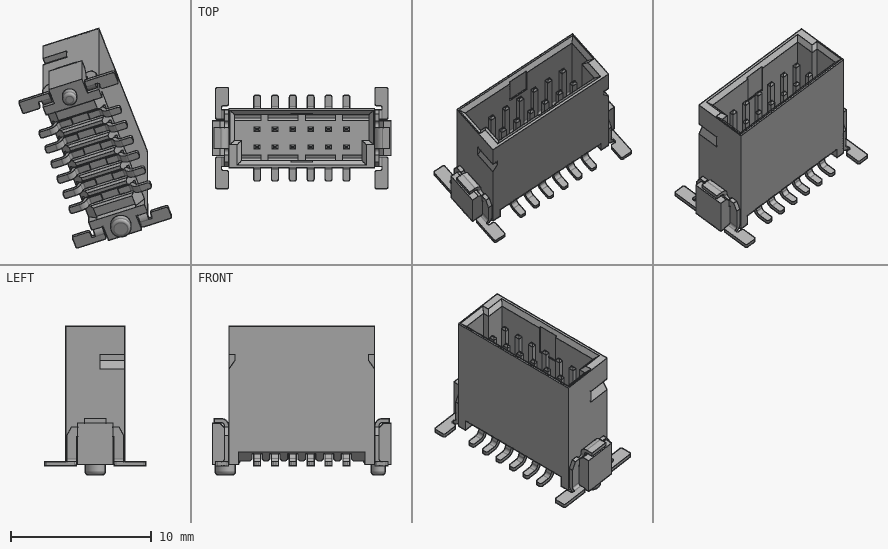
import cadquery as cq
import math


body_length = 10.33
body_depth = 4.21
body_top = 9.91
foot_bottom = 0.09
underside = 0.34
front_cut_top = 0.99
front_cut_half_length = 4.5
underside_chamfer = 0.14

cavity_half_length = 4.76
cavity_back = 1.66
cavity_front = -1.6
key_half_length = 4.27
key_back = -0.15
cavity_floor = 3.17
lead_in = 0.32

relief_length = 1.5
relief_depth = 0.09
relief_bottom = 7.29

groove_radius = 0.22
groove_slope_width = 0.19
outer_groove_start = 2.9
inner_groove_half_length = 2.38
groove_rib = 0.52

notch_depth = 0.43
notch_back = -0.33
notch_top = 7.9
notch_straight = 0.42
notch_height = 1.03

pitch = 1.27
contacts_per_row = 6
pin_width = 0.4
pin_thickness = 0.3
pin_top = 8.91
pin_tip_inset = 0.11
pin_tip_height = 0.19
tail_width = 0.51
tail_thickness = 0.3
tail_end = 3.05
tail_bend_start = 2.24
tail_angle = 75
tail_inner_radius = 0.28
tail_run_top = 0.89
tail_corner_radius = 0.16
tail_slot_width = 0.71
tail_slot_top = 0.86
tooth_chamfer = 0.15

block_outer = 6.34
block_depth = 2.5
block_top = 3.04
block_chamfer = 0.32

clip_thickness = 0.3
clip_outer = 5.49
clip_depth = 4.03
clip_top = 2.75
clip_corner_width = 0.32
clip_corner_height = 0.6
leg_inner = 1.33
leg_split_top = 2.08
leg_bend_radius = 0.19
solder_foot_outer = 6.12
solder_foot_end = 3.6
solder_foot_notch = 0.27
solder_foot_radius = 0.13
solder_foot_heel_radius = 0.18
solder_foot_notch_radius = 0.09
hook_end = 6.22
hook_width = 1.5
hook_relief_width = 0.45
hook_top = 3.36
hook_inner_radius = 0.23

peg_x = 5.42
left_peg_diameter = 1.45
right_peg_diameter = 1.01
peg_bottom = -0.65
peg_edge_radius = 0.23


def box(x0, x1, y0, y1, z0, z1):
    """Axis-aligned box between two opposite corners."""
    return cq.Workplane("XY").box(x1 - x0, y1 - y0, z1 - z0, centered=False).translate((x0, y0, z0))


def extrude_along_x(outline, x0, x1):
    """Extrude a closed YZ outline from x0 to x1."""
    return outline.extrude(x1 - x0).translate((x0, 0, 0))


def extrude_along_y(outline, half_width):
    """Extrude a closed XZ outline symmetrically about Y = 0."""
    return outline.extrude(half_width, both=True)


def both_ends(left_part):
    """Add the mirror image of a left-end part at the right end."""
    return left_part.union(left_part.mirror("YZ"))


def both_rows(back_part):
    """Add the mirror image of a back-row part in the front row."""
    return back_part.union(back_part.mirror("XZ"))


def cavity_outline(offset, z):
    """T-shaped cavity outline with all its walls moved outward by offset."""
    wide = cavity_half_length + offset
    narrow = key_half_length + offset
    back = cavity_back + offset
    front = cavity_front - offset
    step = key_back - offset
    points = [
        (-wide, back), (wide, back), (wide, step), (narrow, step),
        (narrow, front), (-narrow, front), (-narrow, step), (-wide, step),
    ]
    return cq.Workplane("XY").workplane(offset=z).polyline(points).close()


def make_cavity():
    straight = cavity_outline(0, cavity_floor).extrude(body_top - cavity_floor)
    bevel_bottom = body_top - lead_in
    lower = cavity_outline(0, bevel_bottom).wire().val()
    upper = cavity_outline(lead_in, body_top).wire().val()
    bevel = cq.Workplane(obj=cq.Solid.makeLoft([lower, upper], True))
    relief = box(
        -relief_length / 2, relief_length / 2,
        cavity_front - relief_depth, cavity_back + relief_depth, relief_bottom, body_top,
    )
    return straight.union(bevel).union(relief)


def make_floor_groove(y_start, x0, x1):
    """Groove with a rounded back wall that starts at y_start and a sloped front wall."""
    bottom_y = y_start - groove_radius
    bottom_z = cavity_floor - groove_radius
    arc_offset = groove_radius * math.sqrt(0.5)
    outline = (
        cq.Workplane("YZ").moveTo(y_start, cavity_floor)
        .threePointArc((bottom_y + arc_offset, cavity_floor - arc_offset), (bottom_y, bottom_z))
        .lineTo(bottom_y - groove_slope_width, cavity_floor).close()
    )
    return extrude_along_x(outline, x0, x1)


def make_floor_grooves():
    groove_width = groove_radius + groove_slope_width
    rows = ((cavity_back, cavity_half_length), (cavity_front + groove_width, key_half_length))
    grooves = cq.Workplane("XY")
    for y_start, outer_end in rows:
        outer = make_floor_groove(y_start, -outer_end, -outer_groove_start)
        inner = make_floor_groove(y_start, -inner_groove_half_length, -groove_rib / 2)
        grooves = grooves.union(both_ends(outer.union(inner)))
    return grooves


def make_side_notch():
    """Left notch with a square upper part and a sloped lower part, open at the front."""
    side = -body_length / 2
    outline = cq.Workplane("XZ").polyline([
        (side, notch_top), (side + notch_depth, notch_top),
        (side + notch_depth, notch_top - notch_straight), (side, notch_top - notch_height),
    ]).close()
    front = body_depth / 2
    return outline.extrude(front + notch_back).translate((0, notch_back, 0))


def make_underside_cut():
    """Space under the housing between its feet, with bevelled long edges."""
    half = front_cut_half_length
    floor_gap = cq.Workplane("XZ").polyline([
        (-half, foot_bottom), (half, foot_bottom), (half - underside_chamfer, underside),
        (-half + underside_chamfer, underside),
    ]).close()
    edge = body_depth / 2
    bevel_size = front_cut_top - underside
    bevel = cq.Workplane("YZ").polyline([
        (edge, foot_bottom), (edge, front_cut_top), (edge - bevel_size, underside),
        (edge - bevel_size, foot_bottom),
    ]).close()
    return extrude_along_y(floor_gap, edge).union(both_rows(extrude_along_x(bevel, -half, half)))


def contact_positions():
    first = -pitch * (contacts_per_row - 1) / 2
    return [first + pitch * i for i in range(contacts_per_row)]


def make_tail_slot():
    """Slot between two teeth of the underside, widened by chamfers at its mouth."""
    half = tail_slot_width / 2
    chamfer_top = underside + tooth_chamfer
    outline = cq.Workplane("XZ").polyline([
        (-half - tooth_chamfer, underside), (half + tooth_chamfer, underside), (half, chamfer_top),
        (half, tail_slot_top), (-half, tail_slot_top), (-half, chamfer_top),
    ]).close()
    return extrude_along_y(outline, body_depth / 2)


def make_housing():
    housing = box(
        -body_length / 2, body_length / 2, -body_depth / 2, body_depth / 2, foot_bottom, body_top,
    )
    housing = housing.cut(make_cavity()).cut(make_floor_grooves())
    housing = housing.cut(both_ends(make_side_notch())).cut(make_underside_cut())
    for x in contact_positions():
        housing = housing.cut(make_tail_slot().translate((x, 0, 0)))
    return housing


def make_contact():
    """One back-row contact at X = 0: a straight pin and an S-bent solder tail."""
    pin = box(
        -pin_width / 2, pin_width / 2, (pitch - pin_thickness) / 2, (pitch + pin_thickness) / 2,
        cavity_floor - groove_radius, pin_top - pin_tip_height,
    )
    tip = (
        cq.Workplane("XY").workplane(offset=pin_top - pin_tip_height).center(0, pitch / 2)
        .rect(pin_width, pin_thickness).workplane(offset=pin_tip_height)
        .rect(pin_width - 2 * pin_tip_inset, pin_thickness - 2 * pin_tip_inset).loft(ruled=True)
    )
    pin = pin.union(tip)

    angle = math.radians(tail_angle)
    arc_height = 1 - math.cos(angle)
    lower_centre = (tail_bend_start, tail_thickness + tail_inner_radius)
    join_height = tail_thickness + tail_inner_radius * arc_height
    upper_radius = (tail_run_top - join_height) / arc_height
    centre_distance = tail_inner_radius + upper_radius
    upper_centre = (tail_bend_start - centre_distance * math.sin(angle), tail_run_top - upper_radius)

    def on_lower(radius, turn):
        """Point on the lower bend after the given turn from its flat end."""
        return lower_centre[0] - radius * math.sin(turn), lower_centre[1] - radius * math.cos(turn)

    def on_upper(radius, turn):
        """Point on the upper bend after the given turn from its horizontal run."""
        return upper_centre[0] + radius * math.sin(turn), upper_centre[1] + radius * math.cos(turn)

    lower_outer = tail_inner_radius + tail_thickness
    upper_inner = upper_radius - tail_thickness
    outline = (
        cq.Workplane("YZ").moveTo(tail_end, 0).lineTo(tail_end, tail_thickness)
        .lineTo(tail_bend_start, tail_thickness)
        .threePointArc(on_lower(tail_inner_radius, angle / 2), on_lower(tail_inner_radius, angle))
        .threePointArc(on_upper(upper_radius, angle / 2), on_upper(upper_radius, 0))
        .lineTo(pitch / 2, tail_run_top).lineTo(pitch / 2, tail_run_top - tail_thickness)
        .lineTo(*on_upper(upper_inner, 0))
        .threePointArc(on_upper(upper_inner, angle / 2), on_upper(upper_inner, angle))
        .threePointArc(on_lower(lower_outer, angle / 2), on_lower(lower_outer, 0))
        .close()
    )
    tail = extrude_along_x(outline, -tail_width / 2, tail_width / 2)
    tail = tail.faces(">Y").edges("|Z").fillet(tail_corner_radius)
    return pin.union(tail)


def make_block():
    """Left clip block with a bevelled inner top edge, joined to the housing by a web."""
    block = box(
        -block_outer, -clip_outer, -block_depth / 2, block_depth / 2, foot_bottom, block_top,
    ).edges(">X and >Z").chamfer(block_chamfer)
    web = box(
        -clip_outer, -body_length / 2, -block_depth / 2, block_depth / 2, foot_bottom, leg_split_top,
    )
    return block.union(web)


def make_clip_plate():
    """Upright plate of the left clip, split into two legs below and relieved beside the hook."""
    half = clip_depth / 2
    bend_top = clip_thickness + leg_bend_radius
    outline = cq.Workplane("YZ").polyline([
        (-half, bend_top), (-half, clip_top - clip_corner_height),
        (-half + clip_corner_width, clip_top), (half - clip_corner_width, clip_top),
        (half, clip_top - clip_corner_height), (half, bend_top), (leg_inner, bend_top),
        (leg_inner, leg_split_top), (-leg_inner, leg_split_top), (-leg_inner, bend_top),
    ]).close()
    plate = extrude_along_x(outline, -clip_outer, -clip_outer + clip_thickness)
    relief = (
        cq.Workplane("YZ").center((hook_width + hook_relief_width) / 2, clip_top)
        .circle(hook_relief_width / 2)
    )
    relief = extrude_along_x(relief, -clip_outer, -clip_outer + clip_thickness)
    return plate.cut(both_rows(relief))


def make_clip_hook():
    """Tongue on top of the left clip, bent outward over the block."""
    centre_x = -clip_outer - hook_inner_radius
    outer_radius = hook_inner_radius + clip_thickness
    centre_z = hook_top - outer_radius
    mid = math.sqrt(0.5)
    outline = (
        cq.Workplane("XZ").moveTo(-clip_outer, clip_top).lineTo(-clip_outer, centre_z)
        .threePointArc(
            (centre_x + mid * hook_inner_radius, centre_z + mid * hook_inner_radius),
            (centre_x, centre_z + hook_inner_radius))
        .lineTo(-hook_end, hook_top - clip_thickness).lineTo(-hook_end, hook_top)
        .lineTo(centre_x, hook_top)
        .threePointArc(
            (centre_x + mid * outer_radius, centre_z + mid * outer_radius),
            (centre_x + outer_radius, centre_z))
        .lineTo(centre_x + outer_radius, clip_top).close()
    )
    return extrude_along_y(outline, hook_width / 2)


def make_solder_foot():
    """Back solder foot of the left clip with the bend that joins it to its leg."""
    bend_x = -clip_outer - leg_bend_radius
    bend_z = clip_thickness + leg_bend_radius
    outer_radius = leg_bend_radius + clip_thickness
    mid = math.sqrt(0.5)
    bend = (
        cq.Workplane("XZ").moveTo(bend_x, 0)
        .threePointArc(
            (bend_x + mid * outer_radius, bend_z - mid * outer_radius),
            (bend_x + outer_radius, bend_z))
        .lineTo(-clip_outer, bend_z)
        .threePointArc(
            (bend_x + mid * leg_bend_radius, bend_z - mid * leg_bend_radius),
            (bend_x, clip_thickness))
        .close().extrude(leg_inner - clip_depth / 2).translate((0, leg_inner, 0))
    )
    pad_start = clip_depth / 2 + solder_foot_notch
    neck = box(-solder_foot_outer, bend_x, leg_inner, pad_start, 0, clip_thickness)
    pad = box(
        -solder_foot_outer, -clip_outer + clip_thickness, pad_start, solder_foot_end, 0, clip_thickness,
    )
    foot = neck.union(pad).clean()
    foot = foot.edges("|Z and (>Y or (<Y and <X))").fillet(solder_foot_radius)
    heel = cq.selectors.NearestToPointSelector((-clip_outer + clip_thickness, pad_start, clip_thickness / 2))
    foot = foot.edges(heel).fillet(solder_foot_heel_radius)
    notch_corner = cq.selectors.NearestToPointSelector((bend_x, pad_start, clip_thickness / 2))
    foot = foot.edges(notch_corner).fillet(solder_foot_notch_radius)
    return foot.union(bend)


def make_clip():
    return make_clip_plate().union(make_clip_hook()).union(both_rows(make_solder_foot()))


def make_peg(x, diameter):
    return (
        cq.Workplane("XY").workplane(offset=peg_bottom).center(x, 0).circle(diameter / 2)
        .extrude(foot_bottom - peg_bottom).faces("<Z").edges().fillet(peg_edge_radius)
    )


result = make_housing()
for contact_x in contact_positions():
    result = result.union(both_rows(make_contact()).translate((contact_x, 0, 0)))
result = result.union(both_ends(make_block())).union(both_ends(make_clip()))
result = result.union(make_peg(-peg_x, left_peg_diameter))
result = result.union(make_peg(peg_x, right_peg_diameter))